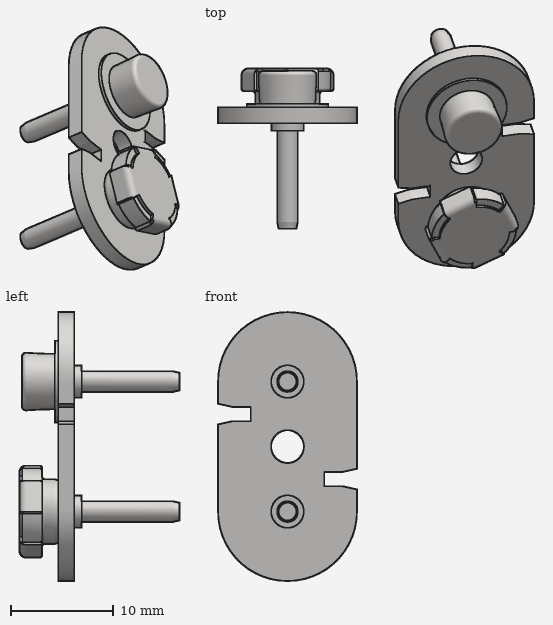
import cadquery as cq
import math


plate_width = 13.59
plate_thickness = 1.58
terminal_pitch = 12.7
terminal_z = terminal_pitch / 2
plate_length = plate_width + terminal_pitch
centre_hole_radius = 1.59

notch_z = terminal_pitch / 4
notch_floor_x = 3.6
notch_flare_x = 5.4
notch_half_width = 0.69
notch_mouth_half_width = 1.0

pin_radius = 1.02
pin_tip_radius = 0.87
pin_tip_length = 0.65
pin_reach = 10.3
collar_radius = 1.59
collar_thickness = 0.73

stud_flange_radius = 4.0
stud_flange_thickness = 0.32
stud_height = 3.54
stud_base_radius = 2.72
stud_head_radius = 2.83
stud_fillet = 0.42

socket_height = 3.79
neck_radius = 3.17
neck_height = 1.29
neck_flare = 0.26
neck_foot_inset = 0.1
neck_foot_height = 0.33
petal_count = 4
petal_corner_radius = 4.5
petal_root_spread = 3
petal_top_fillet = 0.65
petal_bottom_fillet = 0.26
sheet_thickness = 0.25
gap_radius = petal_corner_radius - sheet_thickness
gap_floor_drop = 0.3
gap_bottom_fillet = 0.3
crown_radius = 3.5


def lathe(profile, z):
    """Revolve a (radius, Y) profile about the Y-parallel axis at height z."""
    return profile.close().revolve(360, (0, 0, 0), (0, 1, 0)).translate((0, 0, z))


def polar(radius, degrees):
    """Point (X, Z) at an angle turned from -X towards +Z."""
    angle = math.radians(degrees)
    return -radius * math.cos(angle), radius * math.sin(angle)


def make_plate():
    blank = (
        cq.Workplane("XZ")
        .slot2D(plate_length, plate_width, 90)
        .circle(centre_hole_radius)
        .extrude(-plate_thickness)
    )
    edge_x = plate_width / 2
    notch = (
        cq.Workplane("XZ")
        .moveTo(-edge_x, notch_z + notch_mouth_half_width)
        .lineTo(-notch_flare_x, notch_z + notch_half_width)
        .lineTo(-notch_floor_x, notch_z + notch_half_width)
        .lineTo(-notch_floor_x, notch_z - notch_half_width)
        .lineTo(-notch_flare_x, notch_z - notch_half_width)
        .lineTo(-edge_x, notch_z - notch_mouth_half_width)
        .close()
        .extrude(-plate_thickness)
    )
    for angle in (0, 180):
        blank = blank.cut(notch.rotate((0, 0, 0), (0, 1, 0), angle))
    return blank


def make_pin(z):
    profile = (
        cq.Workplane("XY")
        .lineTo(collar_radius, 0)
        .lineTo(collar_radius, -collar_thickness)
        .lineTo(pin_radius, -collar_thickness)
        .lineTo(pin_radius, pin_tip_length - pin_reach)
        .lineTo(pin_tip_radius, -pin_reach)
        .lineTo(0, -pin_reach)
    )
    return lathe(profile, z)


def make_stud(z):
    base_y = plate_thickness
    flange_y = base_y + stud_flange_thickness
    top_y = base_y + stud_height
    profile = (
        cq.Workplane("XY")
        .moveTo(0, base_y)
        .lineTo(stud_flange_radius, base_y)
        .lineTo(stud_flange_radius, flange_y)
        .lineTo(stud_base_radius, flange_y)
        .lineTo(stud_head_radius, top_y - stud_fillet)
        .radiusArc((stud_head_radius - stud_fillet, top_y), -stud_fillet)
        .lineTo(0, top_y)
    )
    return lathe(profile, z)


def make_socket(z):
    base_y = plate_thickness
    skirt_y = base_y + neck_height + neck_flare
    top_y = base_y + socket_height
    gap_y = top_y - gap_floor_drop

    core = lathe(
        cq.Workplane("XY")
        .moveTo(0, base_y)
        .lineTo(neck_radius - neck_foot_inset, base_y)
        .lineTo(neck_radius, base_y + neck_foot_height)
        .lineTo(neck_radius, base_y + neck_height)
        .radiusArc((neck_radius + neck_flare, skirt_y), neck_flare)
        .lineTo(gap_radius - gap_bottom_fillet, skirt_y)
        .radiusArc((gap_radius, skirt_y + gap_bottom_fillet), -gap_bottom_fillet)
        .lineTo(gap_radius, gap_y)
        .lineTo(crown_radius, gap_y)
        .lineTo(crown_radius, top_y)
        .lineTo(0, top_y),
        0,
    )

    cap = (
        cq.Workplane("XZ", origin=(0, skirt_y, 0))
        .polygon(2 * petal_count, 2 * petal_corner_radius)
        .extrude(skirt_y - top_y)
    )
    cap = cap.faces(">Y").edges().fillet(petal_top_fillet)
    cap = cap.faces("<Y").edges().fillet(petal_bottom_fillet)

    side_angle = 180 / petal_count
    outer_end_angle = side_angle - petal_root_spread
    reach = gap_radius + 2 * sheet_thickness
    petal_sector = (
        cq.Workplane("XZ", origin=(0, skirt_y, 0))
        .lineTo(*polar(gap_radius, -petal_root_spread))
        .lineTo(*polar(petal_corner_radius, 0))
        .lineTo(*polar(reach, 0))
        .lineTo(*polar(reach, side_angle / 2))
        .lineTo(*polar(reach, outer_end_angle))
        .lineTo(*polar(petal_corner_radius, outer_end_angle))
        .lineTo(*polar(gap_radius, side_angle))
        .close()
        .extrude(skirt_y - top_y)
    )
    petal = cap.intersect(petal_sector)
    body = core
    for index in range(petal_count):
        turn = index * 360 / petal_count
        body = body.cut(petal_sector.rotate((0, 0, 0), (0, 1, 0), turn))
        body = body.union(petal.rotate((0, 0, 0), (0, 1, 0), turn))
    return body.translate((0, 0, z))


plate = make_plate()
pins = [make_pin(z) for z in (terminal_z, -terminal_z)]
stud = make_stud(terminal_z)
socket = make_socket(-terminal_z)

result = cq.Compound.makeCompound(
    [plate.val(), *[pin.val() for pin in pins], stud.val(), socket.val()]
)